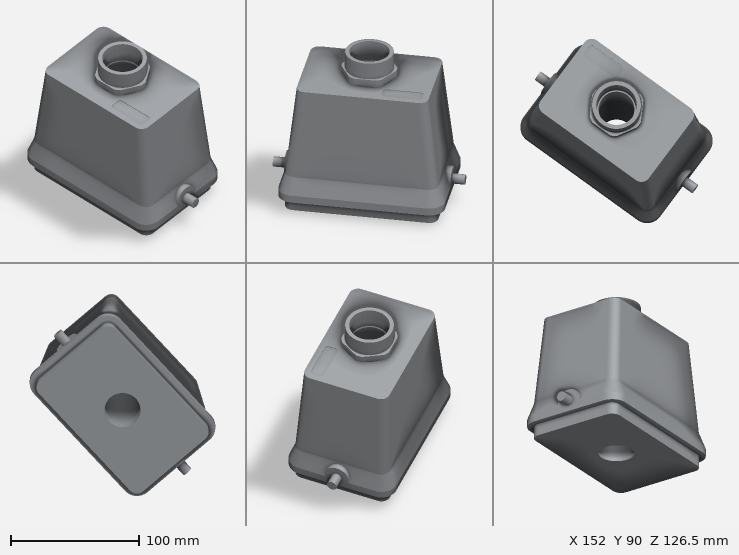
import cadquery as cq

flange_bottom = 9.9
flange_slope_start = 16.1
hood_bottom = 30.0
roof = 105.3
nut_bottom = 106.7
nut_top = 112.5
spigot_top = 126.5

flange_overhang = 5.3
flange_length = 132.0
flange_width = 90.0
skirt_length = flange_length - 2 * flange_overhang
skirt_width = flange_width - 2 * flange_overhang
roof_length = 104.5
roof_width = 71.5
corner_radius = 7.1
flange_corner_radius = corner_radius + flange_overhang

pin_span = 152.0
pin_diameter = 8.0
pin_height = 18.7
boss_radius = 9.9

collar_diameter = 39.0
nut_across_flats = 40.1
nut_corner_diameter = 43.8
nut_turn = 30
spigot_diameter = 38.0
bore_mouth_diameter = 31.6
bore_floor_diameter = 30.4
bore_depth = 16.7
through_diameter = 28.0

label_length = 32.4
label_width = 11.0
label_corner_radius = 3.0
label_depth = 0.5
label_x = 31.0
label_y = -25.2


def rounded_rectangle(length, width, radius):
    return cq.Sketch().rect(length, width).vertices().fillet(radius)


def rounded_block(length, width, radius, bottom, top):
    """Straight block with rounded vertical corners."""
    outline = rounded_rectangle(length, width, radius)
    return cq.Workplane("XY").workplane(offset=bottom).placeSketch(outline).extrude(top - bottom)


def tapered_block(lower_outline, upper_outline, bottom, top):
    """Ruled block between two rounded rectangles."""
    upper = upper_outline.moved(cq.Location(cq.Vector(0, 0, top - bottom)))
    base = cq.Workplane("XY").workplane(offset=bottom)
    return base.placeSketch(lower_outline, upper).loft(ruled=True)


def cylinder(diameter, bottom, top):
    return cq.Workplane("XY").workplane(offset=bottom).circle(diameter / 2).extrude(top - bottom)


def make_housing():
    skirt_outline = rounded_rectangle(skirt_length, skirt_width, corner_radius)
    flange_outline = rounded_rectangle(flange_length, flange_width, flange_corner_radius)
    roof_outline = rounded_rectangle(roof_length, roof_width, corner_radius)

    skirt = rounded_block(skirt_length, skirt_width, corner_radius, 0, flange_bottom)
    flange = rounded_block(
        flange_length, flange_width, flange_corner_radius, flange_bottom, flange_slope_start
    )
    slope = tapered_block(flange_outline, skirt_outline, flange_slope_start, hood_bottom)
    hood = tapered_block(skirt_outline, roof_outline, hood_bottom, roof)
    return skirt.union(flange).union(slope).union(hood)


def make_pins():
    """Pin running between both ends, with an arched boss flush with the flange ends."""
    pin = (
        cq.Workplane("YZ").center(0, pin_height).circle(pin_diameter / 2)
        .extrude(pin_span / 2, both=True)
    )
    boss = (
        cq.Workplane("YZ")
        .moveTo(-boss_radius, flange_bottom)
        .lineTo(-boss_radius, pin_height)
        .threePointArc((0, pin_height + boss_radius), (boss_radius, pin_height))
        .lineTo(boss_radius, flange_bottom)
        .close()
        .extrude(flange_length / 2, both=True)
    )
    return pin.union(boss)


def make_gland():
    """Collar, hexagonal nut with rounded-off corners along X, and round spigot."""
    collar = cylinder(collar_diameter, roof, nut_bottom)
    nut = (
        cq.Workplane("XY").workplane(offset=nut_bottom)
        .polygon(6, nut_across_flats, circumscribed=True)
        .extrude(nut_top - nut_bottom)
        .rotate((0, 0, 0), (0, 0, 1), nut_turn)
        .intersect(cylinder(nut_corner_diameter, nut_bottom, nut_top))
    )
    spigot = cylinder(spigot_diameter, nut_top, spigot_top)
    return collar.union(nut).union(spigot)


def make_bore():
    """Slightly tapered counterbore in the spigot above a straight through hole."""
    counterbore = (
        cq.Workplane("XY").workplane(offset=spigot_top - bore_depth)
        .circle(bore_floor_diameter / 2)
        .workplane(offset=bore_depth)
        .circle(bore_mouth_diameter / 2)
        .loft(ruled=True)
    )
    return counterbore.union(cylinder(through_diameter, 0, spigot_top))


def make_label_recess():
    recess = rounded_block(label_length, label_width, label_corner_radius, roof - label_depth, roof)
    return recess.translate((label_x, label_y, 0))


solid_part = make_housing().union(make_pins()).union(make_gland())
result = solid_part.cut(make_bore()).cut(make_label_recess())